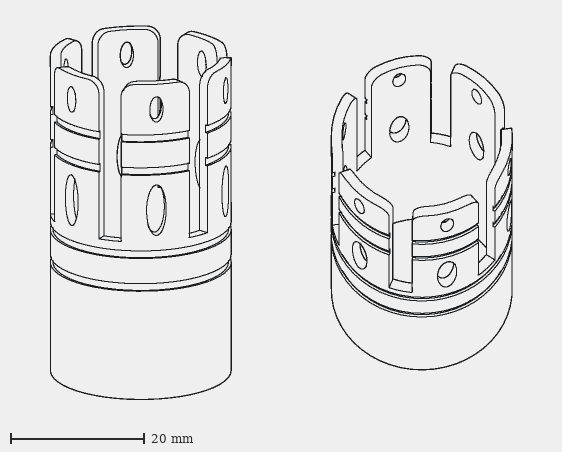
import cadquery as cq

length = 50.0
outer_diameter = 27.2
bore_diameter = 24.0
cutter_reach = outer_diameter

groove_diameter = 26.4
groove_width = 1.2
groove_gap = 4.0
groove_pitch = groove_width + groove_gap
finger_groove_bottom = 35.6
sleeve_groove_bottom = 17.2

finger_count = 6
finger_pitch_angle = 360 / finger_count
first_finger_angle = -90.0
slot_angle = 15.0
slot_floor = length / 2
finger_corner_radius = 2.0

small_window_width = 2.0
small_window_height = 4.0
small_window_level = 46.0
large_window_width = 3.0
large_window_height = 8.0
large_window_level = 30.0


def make_sleeve():
    return (
        cq.Workplane("XY")
        .circle(outer_diameter / 2)
        .circle(bore_diameter / 2)
        .extrude(length)
    )


def make_groove(bottom):
    return (
        cq.Workplane("XY", origin=(0, 0, bottom))
        .circle(cutter_reach)
        .circle(groove_diameter / 2)
        .extrude(groove_width)
    )


def make_slot(direction):
    """Wedge sector with its tip on the sleeve axis, centred on the given angle."""
    sector = cq.Solid.makeCylinder(
        cutter_reach, length - slot_floor, cq.Vector(0, 0, slot_floor), angleDegrees=slot_angle
    )
    start_angle = direction - slot_angle / 2
    return cq.Workplane(sector).rotate((0, 0, 0), (0, 0, 1), start_angle)


def make_window(direction, width, height, level):
    """Elliptical prism running outward from the sleeve axis at the given angle."""
    return (
        cq.Workplane("YZ", origin=(0, 0, level))
        .ellipse(width / 2, height / 2)
        .extrude(cutter_reach)
        .rotate((0, 0, 0), (0, 0, 1), direction)
    )


result = make_sleeve()

finger_angles = [first_finger_angle + i * finger_pitch_angle for i in range(finger_count)]
for finger_angle in finger_angles:
    result = result.cut(make_slot(finger_angle + finger_pitch_angle / 2))
result = result.faces(">Z").edges("%LINE").fillet(finger_corner_radius)

for finger_angle in finger_angles:
    small_window = make_window(finger_angle, small_window_width, small_window_height, small_window_level)
    large_window = make_window(finger_angle, large_window_width, large_window_height, large_window_level)
    result = result.cut(small_window).cut(large_window)

for lower_groove_bottom in (sleeve_groove_bottom, finger_groove_bottom):
    result = result.cut(make_groove(lower_groove_bottom))
    result = result.cut(make_groove(lower_groove_bottom + groove_pitch))